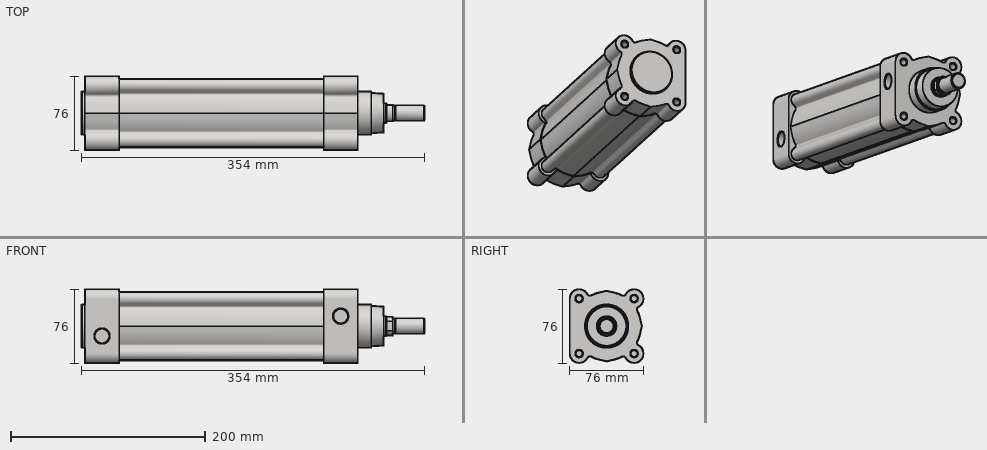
import cadquery as cq
import math

TOTAL_LENGTH = 354.0
BOSS_LENGTH = 3.5
CAP_LENGTH = 35.5
BARREL_LENGTH = 210.5
COLLAR_LENGTH = 13.8
STEP_LENGTH = 2.0
NOSE_LENGTH = 10.5

REAR_CAP_X = BOSS_LENGTH
BARREL_X = REAR_CAP_X + CAP_LENGTH
FRONT_CAP_X = BARREL_X + BARREL_LENGTH
FRONT_CAP_END_X = FRONT_CAP_X + CAP_LENGTH
COLLAR_END_X = FRONT_CAP_END_X + COLLAR_LENGTH
STEP_END_X = COLLAR_END_X + STEP_LENGTH
NOSE_END_X = STEP_END_X + NOSE_LENGTH

CAP_HALF_WIDTH = 76.0 / 2
CORNER_OFFSET = 28.3
CORNER_SIGNS = [(1, 1), (-1, 1), (-1, -1), (1, -1)]

EAR_RADIUS = CAP_HALF_WIDTH - CORNER_OFFSET
CAP_RADIUS = 71.0 / 2
CAP_RIDGE_ANGLE = 13.0
EAR_FILLET = 2.5
BOSS_RADIUS = 45.0 / 2
BOSS_CHAMFER = 0.7
STEP_RADIUS = 21.0
NOSE_END_RADIUS = 20.2
PORT_RADIUS = 7.5
PORT_DEPTH = 17.7
PORT_CHAMFER = 0.7
PORT_OFFSET_Z = 10.3
SCREW_HOLE_RADIUS = 3.35
SCREW_HOLE_DEPTH = 16.0
SCREW_HOLE_CHAMFER = 0.7

BARREL_RADIUS = 35.0
BARREL_RIDGE_ANGLE = 9.7
LOBE_RADIUS = 13.0 / 2
LOBE_FILLET = 1.8

ROD_RADIUS = 20.5 / 2
SHOULDER_START_X = 313.5
FLAT_SECTION_RADIUS = 19.5 / 2
FLAT_HALF_WIDTH = 8.5
FLAT_START_X = 314.7
FLAT_END_X = 320.7
THREAD_START_X = 323.0
THREAD_RADIUS = 16.3 / 2
THREAD_CHAMFER = 1.0


def turned(points):
    """Solid of revolution about X from (x, radius) points; the axis closes the outline."""
    outline = [(points[0][0], 0)] + points + [(points[-1][0], 0)]
    return cq.Workplane("XZ").polyline(outline).close().revolve(360, (0, 0), (1, 0))


def ridged_cylinder(start_x, length, radius, ridge_angle, ridge_directions):
    """Cylinder along X with ridges, each formed by two flats tangent to the round surface."""
    section = cq.Workplane("YZ", origin=(start_x, 0, 0))
    body = section.circle(radius).extrude(length)
    half_angle = math.radians(ridge_angle)
    apex_radius = radius / math.cos(half_angle)
    for direction in ridge_directions:
        middle = math.radians(direction)
        outline = [(0, 0)]
        for angle, distance in [
            (middle - half_angle, radius),
            (middle, apex_radius),
            (middle + half_angle, radius),
        ]:
            outline.append((distance * math.cos(angle), distance * math.sin(angle)))
        body = body.union(section.polyline(outline).close().extrude(length))
    return body


def fillet_inner_corners(body, middle_x, corners, radius):
    """Round the lengthwise inner edges that pass through the given (y, z) corners."""
    for y, z in corners:
        edge = cq.selectors.NearestToPointSelector((middle_x, y, z))
        body = body.edges("|X").edges(edge).fillet(radius)
    return body


def corner_junctions(body_radius, spread_angle):
    """Two (y, z) points per corner, on the body radius, spread_angle either side of the diagonal."""
    points = []
    for sign_y, sign_z in CORNER_SIGNS:
        diagonal = math.atan2(sign_z, sign_y)
        for angle in (diagonal - spread_angle, diagonal + spread_angle):
            points.append((body_radius * math.cos(angle), body_radius * math.sin(angle)))
    return points


def cap_block(start_x):
    """Round cap body with four ears and a full flat on the -Y side."""
    section = cq.Workplane("YZ", origin=(start_x, 0, 0))
    block = ridged_cylinder(start_x, CAP_LENGTH, CAP_RADIUS, CAP_RIDGE_ANGLE, (0, 90, 270))
    for sign_y, sign_z in CORNER_SIGNS:
        ear = section.center(sign_y * CORNER_OFFSET, sign_z * CORNER_OFFSET)
        block = block.union(ear.circle(EAR_RADIUS).extrude(CAP_LENGTH))
    flat_center_y = -(CORNER_OFFSET + EAR_RADIUS / 2)
    flat_side = section.center(flat_center_y, 0).rect(EAR_RADIUS, 2 * CORNER_OFFSET)
    block = block.union(flat_side.extrude(CAP_LENGTH))

    ear_distance = CORNER_OFFSET * math.sqrt(2)
    spread = math.acos(
        (ear_distance**2 + CAP_RADIUS**2 - EAR_RADIUS**2) / (2 * ear_distance * CAP_RADIUS)
    )
    junctions = [
        (y, z)
        for y, z in corner_junctions(CAP_RADIUS, spread)
        if y > 0 or abs(z) > CORNER_OFFSET
    ]
    return fillet_inner_corners(block, start_x + CAP_LENGTH / 2, junctions, EAR_FILLET)


def chamfered_drill(radius, depth, chamfer):
    """Cutter for a blind hole along +X from the origin, widened by a chamfer at its mouth."""
    return turned([(0, radius + chamfer), (chamfer, radius), (depth, radius)])


def port(cap_start_x, z):
    """Blind air port drilled into the -Y side, midway along the cap."""
    drill = chamfered_drill(PORT_RADIUS, PORT_DEPTH, PORT_CHAMFER)
    along_y = drill.rotate((0, 0, 0), (0, 0, 1), 90)
    return along_y.translate((cap_start_x + CAP_LENGTH / 2, -CAP_HALF_WIDTH, z))


def cut_screw_holes(cap, face_x, turn):
    """Drill a blind hole at each ear into a cap face; turn spins the drill about Z to point inward."""
    drill = chamfered_drill(SCREW_HOLE_RADIUS, SCREW_HOLE_DEPTH, SCREW_HOLE_CHAMFER)
    drill = drill.rotate((0, 0, 0), (0, 0, 1), turn)
    for sign_y, sign_z in CORNER_SIGNS:
        cap = cap.cut(drill.translate((face_x, sign_y * CORNER_OFFSET, sign_z * CORNER_OFFSET)))
    return cap


def make_rear_cap():
    cap = cap_block(REAR_CAP_X)
    boss = turned(
        [
            (0, BOSS_RADIUS - BOSS_CHAMFER),
            (BOSS_CHAMFER, BOSS_RADIUS),
            (REAR_CAP_X, BOSS_RADIUS),
        ]
    )
    cap = cap.union(boss)
    cap = cap.cut(port(REAR_CAP_X, -PORT_OFFSET_Z))
    return cut_screw_holes(cap, REAR_CAP_X, 0)


def make_front_cap():
    cap = cap_block(FRONT_CAP_X)
    nose = turned(
        [
            (FRONT_CAP_END_X, BOSS_RADIUS),
            (COLLAR_END_X, BOSS_RADIUS),
            (COLLAR_END_X, STEP_RADIUS),
            (STEP_END_X, STEP_RADIUS),
            (NOSE_END_X, NOSE_END_RADIUS),
        ]
    )
    cap = cap.union(nose)
    cap = cap.cut(port(FRONT_CAP_X, PORT_OFFSET_Z))
    return cut_screw_holes(cap, FRONT_CAP_END_X, 180)


def make_barrel():
    """Round barrel with a tie-rod lobe on a straight neck at each corner."""
    section = cq.Workplane("YZ", origin=(BARREL_X, 0, 0))
    barrel = ridged_cylinder(
        BARREL_X, BARREL_LENGTH, BARREL_RADIUS, BARREL_RIDGE_ANGLE, (0, 90, 180, 270)
    )
    lobe_distance = CORNER_OFFSET * math.sqrt(2)
    for sign_y, sign_z in CORNER_SIGNS:
        diagonal = math.degrees(math.atan2(sign_z, sign_y))
        neck = section.center(lobe_distance / 2, 0).rect(lobe_distance, 2 * LOBE_RADIUS)
        neck = neck.extrude(BARREL_LENGTH)
        lobe = section.center(lobe_distance, 0).circle(LOBE_RADIUS).extrude(BARREL_LENGTH)
        arm = neck.union(lobe)
        barrel = barrel.union(arm.rotate((0, 0, 0), (1, 0, 0), diagonal))

    spread = math.asin(LOBE_RADIUS / BARREL_RADIUS)
    junctions = corner_junctions(BARREL_RADIUS, spread)
    return fillet_inner_corners(barrel, BARREL_X + BARREL_LENGTH / 2, junctions, LOBE_FILLET)


def make_rod():
    """Piston rod end with wrench flats and a chamfered threaded end."""
    chamfered_radius = THREAD_RADIUS - THREAD_CHAMFER
    rod = turned(
        [
            (NOSE_END_X, ROD_RADIUS),
            (SHOULDER_START_X, ROD_RADIUS),
            (FLAT_START_X, FLAT_SECTION_RADIUS),
            (FLAT_END_X, FLAT_SECTION_RADIUS),
            (FLAT_END_X, THREAD_RADIUS),
            (THREAD_START_X, THREAD_RADIUS),
            (THREAD_START_X, chamfered_radius),
            (THREAD_START_X + THREAD_CHAMFER, THREAD_RADIUS),
            (TOTAL_LENGTH - THREAD_CHAMFER, THREAD_RADIUS),
            (TOTAL_LENGTH, chamfered_radius),
        ]
    )
    flat_length = FLAT_END_X - FLAT_START_X
    for side in (1, -1):
        cutter = cq.Workplane("XY").box(flat_length, ROD_RADIUS, 2 * ROD_RADIUS)
        cutter_y = side * (FLAT_HALF_WIDTH + ROD_RADIUS / 2)
        rod = rod.cut(cutter.translate(((FLAT_START_X + FLAT_END_X) / 2, cutter_y, 0)))
    return rod


rear_cap = make_rear_cap()
barrel = make_barrel()
front_cap = make_front_cap()
piston_rod = make_rod()

result = cq.Compound.makeCompound(
    [body.solids().val() for body in (rear_cap, barrel, front_cap, piston_rod)]
)